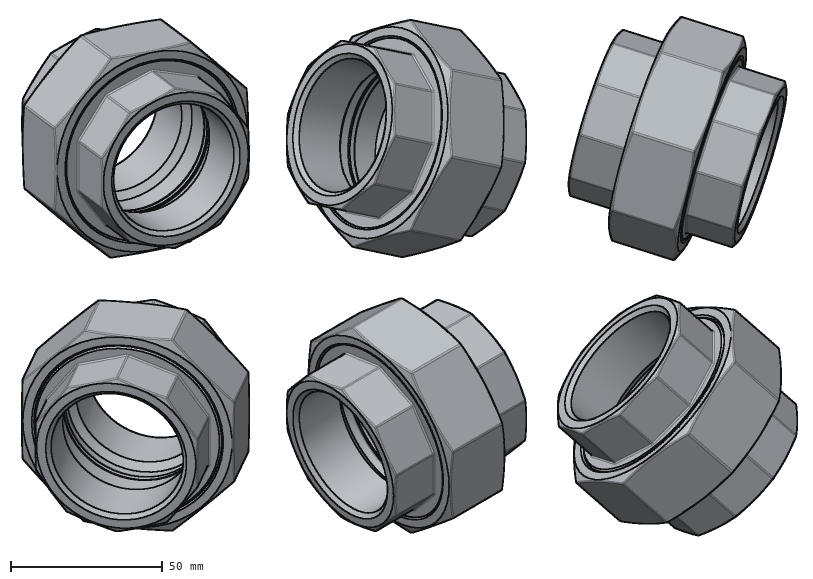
import cadquery as cq
import math

overall_length = 58.0
end_x = overall_length / 2

nut_sides = 8
nut_across_flats = 72.0
nut_corner_angle = 180 / nut_sides
nut_half_width = 24.2 / 2
nut_face_diameter = 71.0
nut_mouth_diameter = 65.0

left_flange_face_diameter = 62.5
nut_bore_diameter = (nut_mouth_diameter + left_flange_face_diameter) / 2

fitting_sides = 10
fitting_across_flats = 55.0
fitting_corner_angle = 90.0
fitting_face_diameter = 54.0
flange_diameter = nut_bore_diameter
right_flange_recess = 0.3
root_fillet = 0.5

gasket_bore_diameter = 49.5
gasket_left_x = 1.6
gasket_right_x = gasket_left_x + 2.0

thread_diameter = 44.85
thread_mouth_diameter = 47.8
thread_end_x = 9.9
runout_length = 2.4
inner_bore_diameter = 50.0
seat_fillet = 1.0

corner_fillet = 1.0
crown_angle = 20.0
crown_fillet = 0.5
crown_depth_limit = 3.6

position_tolerance = 0.035


def axis_distance(edge):
    """Distance of the middle of an edge from the X axis."""
    middle = edge.positionAt(0.5)
    return math.hypot(middle.y, middle.z)


def turned(profile):
    """Solid of revolution about X from a closed outline of (x, radius) points."""
    return cq.Workplane("XY").polyline(profile).close().revolve(360, (0, 0, 0), (1, 0, 0))


def disc(diameter, x_start, x_end):
    return cq.Workplane("YZ", origin=(x_start, 0, 0)).circle(diameter / 2).extrude(x_end - x_start)


def wrench_prism(across_flats, sides, corner_angle, x_start, x_end):
    """Regular prism along X with rounded corners; the corner angle runs from +Y towards +Z."""
    corner_radius = across_flats / 2 / math.cos(math.pi / sides)
    angles = [math.radians(corner_angle + 360 * i / sides) for i in range(sides)]
    corners = [(corner_radius * math.cos(a), corner_radius * math.sin(a)) for a in angles]
    prism = cq.Workplane("YZ", origin=(x_start, 0, 0)).polyline(corners).close().extrude(x_end - x_start)
    return prism.edges("|X").fillet(corner_fillet)


def crowned(prism, face_diameter, x_start, x_end):
    """Cut a cone around the -X end of the prism and round the edges between cone and flats."""
    face_radius = face_diameter / 2
    cone_end_radius = face_radius + (x_end - x_start) / math.tan(math.radians(crown_angle))
    cone = turned([(x_start, 0), (x_start, face_radius), (x_end, cone_end_radius), (x_end, 0)])
    body = prism.intersect(cone)
    crown_edges = [
        edge for edge in body.edges().vals()
        if edge.BoundingBox().xmax < x_start + crown_depth_limit
        and axis_distance(edge) > face_radius + position_tolerance
    ]
    return body.newObject(crown_edges).fillet(crown_fillet)


def make_nut():
    """Octagonal nut, made as its -X half and mirrored."""
    prism = wrench_prism(nut_across_flats, nut_sides, nut_corner_angle, -nut_half_width, 0)
    half = crowned(prism, nut_face_diameter, -nut_half_width, 0)
    mouth_depth = (nut_mouth_diameter - nut_bore_diameter) / 2
    bore = turned([
        (-nut_half_width, 0),
        (-nut_half_width, nut_mouth_diameter / 2),
        (-nut_half_width + mouth_depth, nut_bore_diameter / 2),
        (0, nut_bore_diameter / 2),
        (0, 0),
    ])
    half = half.cut(bore)
    return half.union(half.mirror("YZ"))


def bore_tool(inner_x):
    """Threaded bore with its mouth chamfer, run-out cone and wider inner bore, from -end_x to inner_x."""
    mouth_depth = (thread_mouth_diameter - thread_diameter) / 2
    return turned([
        (-end_x, 0),
        (-end_x, thread_mouth_diameter / 2),
        (-end_x + mouth_depth, thread_diameter / 2),
        (-thread_end_x, thread_diameter / 2),
        (-thread_end_x + runout_length, inner_bore_diameter / 2),
        (inner_x, inner_bore_diameter / 2),
        (inner_x, 0),
    ])


def with_root_fillet(body, flange_face_x):
    """Round the corner where the wrench flats meet the flange face."""
    root_edges = [
        edge for edge in body.edges().vals()
        if abs(edge.Center().x - flange_face_x) < position_tolerance
        and axis_distance(edge) < fitting_across_flats / 2 + root_fillet + corner_fillet
    ]
    return body.newObject(root_edges).fillet(root_fillet)


def make_fitting(flange, flange_face_x, inner_x):
    """Fitting on the -X side: decagonal end joined to its flange, and the bore up to inner_x."""
    prism = wrench_prism(fitting_across_flats, fitting_sides, fitting_corner_angle, -end_x, inner_x)
    end = crowned(prism, fitting_face_diameter, -end_x, inner_x)
    body = with_root_fillet(end.union(flange), flange_face_x)
    return body.cut(bore_tool(inner_x))


def make_left_fitting():
    """Fitting whose flange is bevelled and flush with the nut's face."""
    bevel = (flange_diameter - left_flange_face_diameter) / 2
    flange = disc(flange_diameter, -nut_half_width, gasket_left_x).faces("<X").chamfer(bevel)
    return make_fitting(flange, -nut_half_width, gasket_left_x)


def make_right_fitting():
    """Fitting with a recessed plain flange and a rounded seat edge, made at -X and mirrored."""
    flange_face_x = -nut_half_width + right_flange_recess
    inner_x = -gasket_right_x
    flange = disc(flange_diameter, flange_face_x, inner_x)
    body = make_fitting(flange, flange_face_x, inner_x)
    bore_edge = cq.selectors.RadiusNthSelector(0)
    return body.faces(">X").edges(bore_edge).fillet(seat_fillet).mirror("YZ")


def make_gasket():
    ring = disc(flange_diameter, gasket_left_x, gasket_right_x)
    return ring.cut(disc(gasket_bore_diameter, gasket_left_x, gasket_right_x))


nut = make_nut()
left_fitting = make_left_fitting()
right_fitting = make_right_fitting()
gasket = make_gasket()

result = cq.Compound.makeCompound([
    nut.val(),
    left_fitting.val(),
    right_fitting.val(),
    gasket.val(),
])